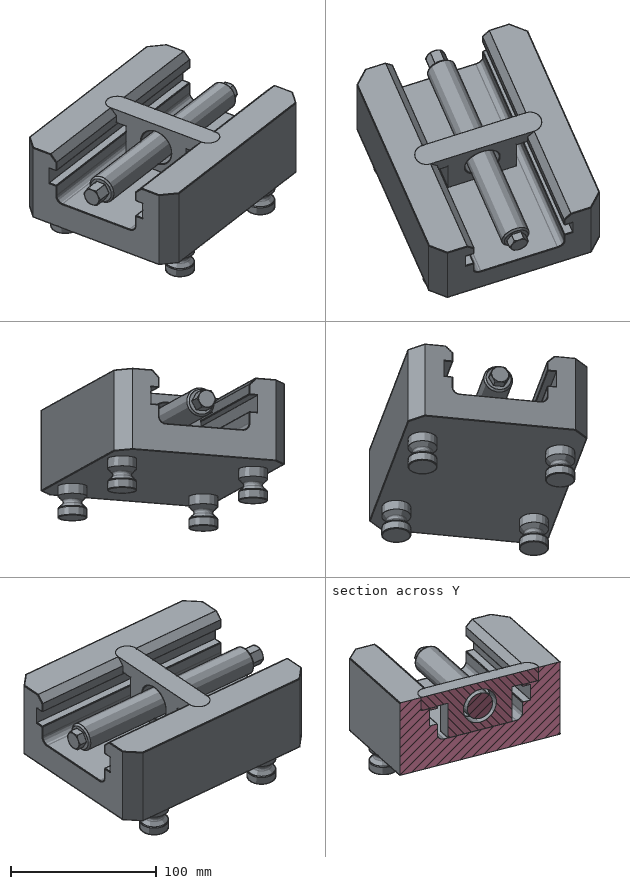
import cadquery as cq
import math

HOUSING_WIDTH = 125.0
HOUSING_LENGTH = 160.0
HOUSING_HEIGHT = 57.0
CORNER_CHAMFER = 9.9
EDGE_BREAK = 0.5

SLOT_WIDTH = 66.0
SLOT_DEPTH = 37.0
SLOT_FILLET = 5.0
LIP_CHAMFER = 5.0
GROOVE_WIDTH = 78.4
GROOVE_TOP_DEPTH = 12.0
GROOVE_BOTTOM_DEPTH = 24.0

BRIDGE_THICKNESS = 16.0
BRIDGE_BAR_DEPTH = 10.2
BRIDGE_STEM_WIDTH = 50.0
BRIDGE_HOLE_DIAMETER = 25.2
BRIDGE_BAR_STRAIGHT = SLOT_WIDTH + 2 * LIP_CHAMFER
BRIDGE_BAR_LENGTH = BRIDGE_BAR_STRAIGHT + BRIDGE_THICKNESS

SPINDLE_DEPTH = 18.5
SHAFT_DIAMETER = 20.0
SHAFT_LENGTH = 148.2
SHAFT_END_CHAMFER = 1.3
HEX_FLATS = 12.0
HEX_TIP_DIAMETER = 11.9
HEX_TIP_CHAMFER = 0.7
SPINDLE_OVERHANG = 5.0

STUD_DIAMETER = 20.0
STUD_HEIGHT = 22.1
STUD_SPACING = 96.0
STUD_COLLAR_HEIGHT = 7.0
NECK_CONE_HEIGHT = 3.0
NECK_ROUND_RADIUS = 2.0

SPINDLE_HEIGHT = HOUSING_HEIGHT - SPINDLE_DEPTH
HEX_CORNERS = HEX_FLATS / math.cos(math.radians(30))


def make_bridge_bar():
    """The round-ended bar of the bridge, flush with the top of the housing."""
    return (
        cq.Workplane("XY", origin=(0, 0, HOUSING_HEIGHT))
        .slot2D(BRIDGE_BAR_LENGTH, BRIDGE_THICKNESS)
        .extrude(-BRIDGE_BAR_DEPTH)
    )


def make_slot():
    """The space of the T-slot, with its floor fillets and the chamfers of its lips."""
    half_slot = SLOT_WIDTH / 2
    half_mouth = half_slot + LIP_CHAMFER
    floor = HOUSING_HEIGHT - SLOT_DEPTH
    channel = (
        cq.Workplane("XZ", origin=(0, HOUSING_LENGTH / 2, 0))
        .moveTo(-half_mouth, HOUSING_HEIGHT)
        .lineTo(-half_slot, HOUSING_HEIGHT - LIP_CHAMFER)
        .lineTo(-half_slot, floor)
        .lineTo(half_slot, floor)
        .lineTo(half_slot, HOUSING_HEIGHT - LIP_CHAMFER)
        .lineTo(half_mouth, HOUSING_HEIGHT)
        .close()
        .extrude(HOUSING_LENGTH)
        .edges("|Y and <Z")
        .fillet(SLOT_FILLET)
    )
    groove_height = GROOVE_BOTTOM_DEPTH - GROOVE_TOP_DEPTH
    groove = cq.Workplane("XY", origin=(0, 0, HOUSING_HEIGHT - GROOVE_BOTTOM_DEPTH)).box(
        GROOVE_WIDTH, HOUSING_LENGTH, groove_height, centered=(True, True, False)
    )
    return channel.union(groove)


def centered_region(half_width, lower_depth, upper_depth):
    """A selector for edges near the slot, between two depths, along the whole housing."""
    return cq.selectors.BoxSelector(
        (-half_width, -HOUSING_LENGTH, HOUSING_HEIGHT - lower_depth),
        (half_width, HOUSING_LENGTH, HOUSING_HEIGHT - upper_depth),
    )


def make_housing():
    """The slotted block, with recesses for the ends of the bridge."""
    block = (
        cq.Workplane("XY")
        .rect(HOUSING_WIDTH, HOUSING_LENGTH)
        .extrude(HOUSING_HEIGHT)
        .edges("|Z")
        .chamfer(CORNER_CHAMFER)
        .faces("<Z or >Z")
        .edges()
        .chamfer(EDGE_BREAK)
    )
    groove_mouths = centered_region(
        SLOT_WIDTH / 2 + EDGE_BREAK, GROOVE_BOTTOM_DEPTH + EDGE_BREAK, GROOVE_TOP_DEPTH - EDGE_BREAK
    )
    slotted = block.cut(make_slot()).edges("|Y").edges(groove_mouths).chamfer(EDGE_BREAK)
    slot_outline = centered_region(GROOVE_WIDTH / 2 - EDGE_BREAK, SLOT_DEPTH + EDGE_BREAK, 2 * EDGE_BREAK)
    slotted = slotted.faces("<Y or >Y").edges(slot_outline).chamfer(EDGE_BREAK)
    return slotted.cut(make_bridge_bar())


def make_bridge():
    """The bar with a stem down to the slot floor and a clearance hole for the spindle."""
    stem = cq.Workplane("XY", origin=(0, 0, HOUSING_HEIGHT - SLOT_DEPTH)).box(
        BRIDGE_STEM_WIDTH, BRIDGE_THICKNESS, SLOT_DEPTH, centered=(True, True, False)
    )
    hole = (
        cq.Workplane("XZ", origin=(0, BRIDGE_THICKNESS / 2, SPINDLE_HEIGHT))
        .circle(BRIDGE_HOLE_DIAMETER / 2)
        .extrude(BRIDGE_THICKNESS)
    )
    hole_rims = cq.selectors.BoxSelector(
        (-BRIDGE_HOLE_DIAMETER, -BRIDGE_THICKNESS, SPINDLE_HEIGHT - EDGE_BREAK),
        (BRIDGE_HOLE_DIAMETER, BRIDGE_THICKNESS, SPINDLE_HEIGHT + EDGE_BREAK),
    )
    bored = make_bridge_bar().union(stem).cut(hole)
    return bored.edges("%CIRCLE").edges(hole_rims).chamfer(EDGE_BREAK)


def make_spindle():
    """A round shaft joined to a longer hexagon bar whose tips are turned to a cone."""
    front_end = -HOUSING_LENGTH / 2 - SPINDLE_OVERHANG
    back_end = HOUSING_LENGTH / 2
    shaft = (
        cq.Workplane("XZ", origin=(0, SHAFT_LENGTH / 2, SPINDLE_HEIGHT))
        .circle(SHAFT_DIAMETER / 2)
        .extrude(SHAFT_LENGTH)
        .faces("<Y or >Y")
        .chamfer(SHAFT_END_CHAMFER)
    )
    hexagon = (
        cq.Workplane("XZ", origin=(0, back_end, SPINDLE_HEIGHT))
        .polygon(6, HEX_CORNERS)
        .extrude(back_end - front_end)
    )
    tip_envelope = (
        cq.Workplane("XY", origin=(0, 0, SPINDLE_HEIGHT))
        .moveTo(0, front_end)
        .lineTo(HEX_TIP_DIAMETER / 2, front_end)
        .lineTo(HEX_CORNERS / 2, front_end + HEX_TIP_CHAMFER)
        .lineTo(HEX_CORNERS / 2, back_end - HEX_TIP_CHAMFER)
        .lineTo(HEX_TIP_DIAMETER / 2, back_end)
        .lineTo(0, back_end)
        .close()
        .revolve(360, (0, 0, 0), (0, 1, 0))
    )
    return shaft.union(hexagon.intersect(tip_envelope))


def make_stud(x, y):
    """A turned foot hanging from the underside of the housing at (x, y)."""
    radius = STUD_DIAMETER / 2
    neck_edge = radius - NECK_CONE_HEIGHT
    neck_chord = NECK_ROUND_RADIUS * math.sqrt(2)
    neck_sagitta = NECK_ROUND_RADIUS - neck_chord / 2
    neck_top = -STUD_COLLAR_HEIGHT - NECK_CONE_HEIGHT
    neck_bottom = neck_top - neck_chord
    foot_top = neck_bottom - NECK_CONE_HEIGHT
    turned = (
        cq.Workplane("XZ", origin=(x, y, 0))
        .lineTo(radius, 0)
        .lineTo(radius, -STUD_COLLAR_HEIGHT)
        .lineTo(neck_edge, neck_top)
        .threePointArc((neck_edge - neck_sagitta, neck_top - neck_chord / 2), (neck_edge, neck_bottom))
        .lineTo(radius, foot_top)
        .lineTo(radius, -STUD_HEIGHT)
        .lineTo(0, -STUD_HEIGHT)
        .close()
        .revolve(360, (0, 0, 0), (0, 1, 0))
    )
    foot_rims = cq.selectors.BoxSelector(
        (x - radius, y - radius, -STUD_HEIGHT - EDGE_BREAK),
        (x + radius, y + radius, foot_top + EDGE_BREAK),
    )
    return turned.edges("%CIRCLE").edges(foot_rims).chamfer(EDGE_BREAK)


housing = make_housing()
bridge = make_bridge()
spindle = make_spindle()
stud_places = [
    (x_side * STUD_SPACING / 2, y_side * STUD_SPACING / 2)
    for x_side in (-1, 1)
    for y_side in (-1, 1)
]
studs = [make_stud(x, y) for x, y in stud_places]

result = cq.Compound.makeCompound(
    [housing.val(), bridge.val(), spindle.val(), *[stud.val() for stud in studs]]
)